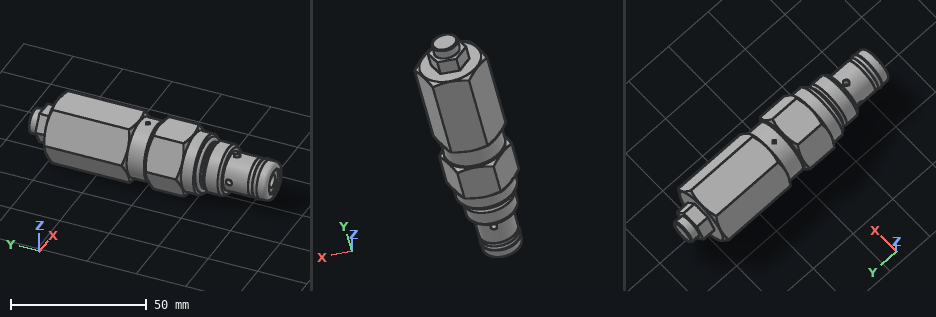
import cadquery as cq
import math

total_length = 97.4

nose_radius = 7.5
nose_fillet = 1.5
nose_recess_radius = 4.9
nose_recess_depth = 0.9
bore_radius = 2.5
cross_hole_radius = 1.22
cross_hole_y = 15.1
cross_hole_reach = 2 * nose_radius
bore_depth = cross_hole_y + bore_radius

nose_seal_start = 3.9
nose_ring_section = 0.9
nose_ring_clearance = 0.1
nose_ring_radius = 7.8
nose_ring_y = nose_seal_start + nose_ring_clearance + nose_ring_section
backup_ring_start = nose_ring_y + nose_ring_section + nose_ring_clearance
backup_ring_end = 7.4
backup_ring_radius = 7.4
seal_groove_radius = 6.3

thread_start = 17.4
thread_end = 25.0
thread_radius = 9.8
thread_chamfer_length = 1.2
thread_relief_radius = 9.0

shoulder_ring_section = 1.0
shoulder_ring_radius = 10.7

collar_radius = 11.7
shoulder_y = 27.7
hex_corner_diameter = 27.5
hex_chamfer_angle = 30.0
body_hex_start = 32.5
body_hex_end = 47.0
neck_radius = 9.1
cap_start = 47.6
cap_hex_start = 54.6
cap_hex_end = 88.0

vent_radius = 0.73
vent_depth = 1.5
vent_y = 51.2

nut_corner_diameter = 14.5
nut_end = 93.5
stem_radius = 4.9
stem_chamfer = 0.4


def cylinder(radius, start, end):
    """Cylinder about the Y axis between two stations."""
    return cq.Workplane("XZ", origin=(0, start, 0)).circle(radius).extrude(start - end)


def hexagon(corner_diameter, start, end):
    """Hexagonal prism about the Y axis with corners on +X and -X."""
    return cq.Workplane("XZ", origin=(0, start, 0)).polygon(6, corner_diameter).extrude(start - end)


def revolve_profile(points):
    """Solid of revolution about the Y axis from (radius, y) points."""
    return cq.Workplane("XY").polyline(points).close().revolve(360, (0, 0, 0), (0, 1, 0))


def chamfered_hexagon(start, end):
    """Large hexagon with its corners turned off conically at both ends."""
    corner_radius = hex_corner_diameter / 2
    drop = (corner_radius - collar_radius) * math.tan(math.radians(hex_chamfer_angle))
    envelope = revolve_profile([
        (0, start),
        (collar_radius, start),
        (corner_radius, start + drop),
        (corner_radius, end - drop),
        (collar_radius, end),
        (0, end),
    ])
    return hexagon(hex_corner_diameter, start, end).intersect(envelope)


def o_ring(outer_radius, section_radius, center_y):
    """Round-section ring about the Y axis, with its surface seam on the hidden inner side."""
    center_radius = outer_radius - section_radius
    return (
        cq.Workplane("XY")
        .center(-center_radius, center_y)
        .circle(section_radius)
        .revolve(360, (center_radius, 0, 0), (center_radius, 1, 0))
    )


def make_nose():
    """Spool sleeve with a rounded tip, an O-ring and a backup ring."""
    sleeve = cylinder(nose_radius, 0, thread_start).faces("<Y").edges().fillet(nose_fillet)
    groove = cylinder(nose_radius, nose_seal_start, backup_ring_end).cut(
        cylinder(seal_groove_radius, nose_seal_start, backup_ring_end)
    )
    ring = o_ring(nose_ring_radius, nose_ring_section, nose_ring_y)
    backup_ring = cylinder(backup_ring_radius, backup_ring_start, backup_ring_end)
    return sleeve.cut(groove).union(ring).union(backup_ring)


def make_thread():
    """Thread envelope chamfered at both ends, with the relief and O-ring behind it."""
    thread = revolve_profile([
        (0, thread_start),
        (thread_relief_radius, thread_start),
        (thread_radius, thread_start + thread_chamfer_length),
        (thread_radius, thread_end - thread_chamfer_length),
        (thread_relief_radius, thread_end),
        (0, thread_end),
    ])
    relief = cylinder(thread_relief_radius, thread_end, shoulder_y)
    ring = o_ring(shoulder_ring_radius, shoulder_ring_section, shoulder_y - shoulder_ring_section)
    return thread.union(relief).union(ring)


def make_body():
    """Body hexagon with its collar, and the neck leading to the cap."""
    collar = cylinder(collar_radius, shoulder_y, body_hex_start)
    neck = cylinder(neck_radius, body_hex_end, cap_start)
    return collar.union(chamfered_hexagon(body_hex_start, body_hex_end)).union(neck)


def make_cap():
    """Long hexagonal cap with a vented collar."""
    collar = cylinder(collar_radius, cap_start, cap_hex_start)
    vent = (
        cq.Workplane("XY", origin=(0, vent_y, collar_radius))
        .circle(vent_radius)
        .extrude(-vent_depth)
    )
    return collar.union(chamfered_hexagon(cap_hex_start, cap_hex_end)).cut(vent)


def make_stem():
    """Locknut and chamfered adjusting stem."""
    nut = hexagon(nut_corner_diameter, cap_hex_end, nut_end)
    stem = cylinder(stem_radius, nut_end, total_length).faces(">Y").chamfer(stem_chamfer)
    return nut.union(stem)


def cut_ports(part):
    """Cut the nose recess, the axial bore and the crossing radial holes."""
    part = part.cut(cylinder(nose_recess_radius, 0, nose_recess_depth))
    part = part.cut(cylinder(bore_radius, 0, bore_depth))
    for plane in ("XY", "YZ"):
        hole_center = cq.Workplane(plane, origin=(0, cross_hole_y, 0))
        part = part.cut(hole_center.circle(cross_hole_radius).extrude(cross_hole_reach, both=True))
    return part


part = make_nose()
for section in (make_thread(), make_body(), make_cap(), make_stem()):
    part = part.union(section)

result = cut_ports(part)